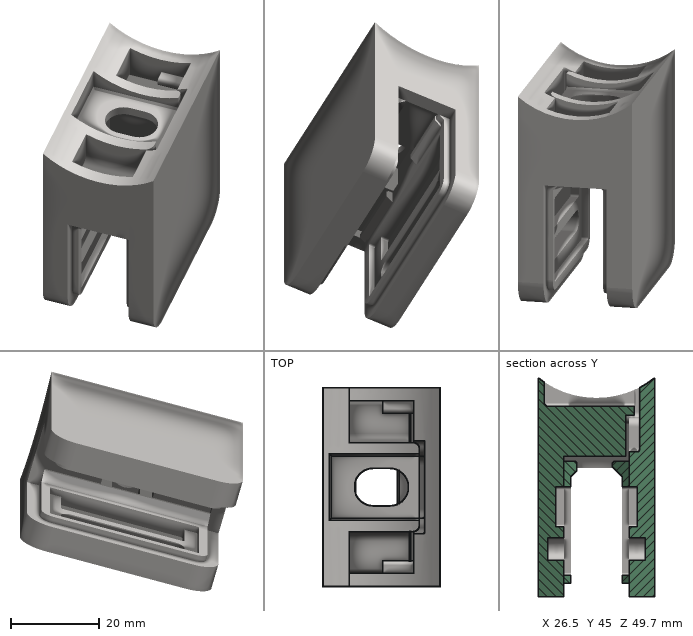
import cadquery as cq
import math

WIDTH = 26.5
LENGTH = 45.0
HEIGHT = 49.65
LEG_THICKNESS = 5.95
CORNER_RADIUS = 5.95
SADDLE_RADIUS = 21.2
END_WALL = 3.0
SLOT_TOP = 29.1

HALF_WIDTH = WIDTH / 2
HALF_LENGTH = LENGTH / 2
LEG_FACE = HALF_WIDTH - LEG_THICKNESS
INNER_HALF_LENGTH = HALF_LENGTH - END_WALL
SADDLE_CENTRE_Z = HEIGHT + math.sqrt(SADDLE_RADIUS**2 - HALF_WIDTH**2)

TONGUE_BOTTOM = 31.8
LEDGE_TOP = 38.45
LEDGE_END = 6.65
LEDGE_END_CHAMFER = 0.4
LEDGE_EDGE_RADIUS = 1.0
HUB_HALF_WIDTH = 10.1
HUB_END = 8.6
HUB_CORNER_RADIUS = 1.5
HUB_ROOT_RADIUS = 2.0

SEAT_START = -11.8
SEAT_HALF_WIDTH = 7.5
SEAT_FLOOR = 43.2
SEAT_CHAMFER = 0.5
SEAT_THICKNESS = 2.2
NOSE_BOTTOM = SEAT_FLOOR - SEAT_THICKNESS
SCREW_SLOT_LENGTH = 12.2
SCREW_SLOT_WIDTH = 8.45
HOLLOW_END = 4.65
HOLLOW_HALF_WIDTH = 6.1
NOTCH_HALF_WIDTH = 3.35

RECESS_BACK = 9.8
RECESS_HALF_WIDTH = 10.55
NOSE_CLEARANCE = 0.5
RECESS_SHELF = NOSE_BOTTOM - NOSE_CLEARANCE
RECESS_FLOOR = 31.8
RECESS_CORNER_RADIUS = 1.25
RECESS_FLOOR_HALF_WIDTH = 5.0
RECESS_STEP_RADIUS = 2.0
RECESS_BACK_RADIUS = 0.4

LATCH_START = 0.25
LATCH_TOP = 41.2
LATCH_RADIUS = 1.0
LATCH_REACH = 2.85

OPENING_HALF_LENGTH = 14.5
KEYHOLE_BOTTOM = 8.3
KEYHOLE_HEIGHT = 4.95
KEYHOLE_DEPTH = 3.6
POCKET_BOTTOM = 15.9
POCKET_TOP = 24.82
POCKET_DEPTH = 1.9
POCKET_CORNER_RADIUS = 0.5

GASKET_THICKNESS = 1.5
GASKET_INSET = 3.0
GASKET_BORDER = 2.0
GASKET_TOP = 30.8
GASKET_HALF_LENGTH = HALF_LENGTH - GASKET_INSET
GASKET_FACE = LEG_FACE - GASKET_THICKNESS
GASKET_CORNER_RADIUS = CORNER_RADIUS - GASKET_INSET
WINDOW_TOP = 24.82
WINDOW_CORNER_RADIUS = 0.5
LIP_BOTTOM = 27.1
LIP_REACH = 2.3
LIP_TOP_CHAMFER = 0.55
SPLIT_LIP_REACH = 1.45
SPLIT_LIP_GAP_HALF = 5.95
LIP_END_STEP = 0.85
LIP_END_LENGTH = 1.5
LIP_END_REACH = 1.25


def box(x_range, y_range, z_range):
    """Block between two limits along each axis."""
    size = [high - low for low, high in (x_range, y_range, z_range)]
    corner = (x_range[0], y_range[0], z_range[0])
    return cq.Workplane("XY").box(*size, centered=False).translate(corner)


def centred_box(x_range, half_width, z_range):
    """Block that is symmetric about the plane Y = 0."""
    return box(x_range, (-half_width, half_width), z_range)


def saddle():
    """Tube along Y that rests on the clamp."""
    return (
        cq.Workplane("XZ")
        .center(0, SADDLE_CENTRE_Z)
        .circle(SADDLE_RADIUS)
        .extrude(HALF_LENGTH, both=True)
    )


def leg_openings():
    """Round-ended keyhole and shallow pocket cut into the inner face of the +X leg."""
    keyhole = (
        cq.Workplane("YZ", origin=(LEG_FACE, 0, KEYHOLE_BOTTOM + KEYHOLE_HEIGHT / 2))
        .slot2D(2 * OPENING_HALF_LENGTH, KEYHOLE_HEIGHT)
        .extrude(KEYHOLE_DEPTH)
    )
    pocket = centred_box(
        (LEG_FACE, LEG_FACE + POCKET_DEPTH), OPENING_HALF_LENGTH, (POCKET_BOTTOM, POCKET_TOP)
    )
    return keyhole.union(pocket.edges("|X").fillet(POCKET_CORNER_RADIUS))


def leg():
    """Plain +X leg with rounded bottom corners and the blind openings."""
    plate = centred_box((LEG_FACE, HALF_WIDTH), HALF_LENGTH, (0, HEIGHT))
    plate = plate.edges("|X and <Z").fillet(CORNER_RADIUS)
    return plate.cut(leg_openings())


def nose_recess():
    """Stepped recess with an S-curved floor, open at the top of the housing leg."""
    radius = RECESS_STEP_RADIUS
    wall = RECESS_FLOOR_HALF_WIDTH + radius
    shoulder = RECESS_SHELF - radius
    bend = radius * math.sqrt(0.5)
    corner_bend = RECESS_CORNER_RADIUS * math.sqrt(0.5)
    corner_y = RECESS_HALF_WIDTH - RECESS_CORNER_RADIUS
    corner_z = RECESS_SHELF + RECESS_CORNER_RADIUS
    half = (
        cq.Workplane("YZ", origin=(LEG_FACE, 0, 0))
        .moveTo(0, RECESS_FLOOR)
        .lineTo(RECESS_FLOOR_HALF_WIDTH, RECESS_FLOOR)
        .threePointArc(
            (RECESS_FLOOR_HALF_WIDTH + bend, RECESS_FLOOR + radius - bend), (wall, RECESS_FLOOR + radius)
        )
        .lineTo(wall, shoulder)
        .threePointArc(
            (wall + radius - bend, shoulder + bend), (wall + radius, RECESS_SHELF)
        )
        .lineTo(corner_y, RECESS_SHELF)
        .threePointArc(
            (corner_y + corner_bend, corner_z - corner_bend), (RECESS_HALF_WIDTH, corner_z)
        )
        .lineTo(RECESS_HALF_WIDTH, HEIGHT)
        .lineTo(0, HEIGHT)
        .close()
        .extrude(RECESS_BACK - LEG_FACE)
    )
    half = half.faces(">X").edges("not (>Z or <Y)").fillet(RECESS_BACK_RADIUS)
    return half.union(half.mirror("XZ"))


def latch():
    """Round-nosed bar standing off the +Y end wall."""
    nose_y = INNER_HALF_LENGTH - LATCH_REACH + LATCH_RADIUS
    nose_z = LATCH_TOP - LATCH_RADIUS
    bar = box(
        (LATCH_START, LEG_FACE), (nose_y, INNER_HALF_LENGTH), (nose_z - LATCH_RADIUS, LATCH_TOP)
    )
    nose = (
        cq.Workplane("YZ", origin=(LATCH_START, nose_y, nose_z))
        .circle(LATCH_RADIUS)
        .extrude(LEG_FACE - LATCH_START)
    )
    return bar.union(nose)


def make_housing():
    """+X leg with the two end walls and their latch bars."""
    housing = leg().cut(nose_recess())
    end_wall = box(
        (-LEG_FACE, LEG_FACE), (INNER_HALF_LENGTH, HALF_LENGTH), (SLOT_TOP, HEIGHT)
    ).union(latch())
    housing = housing.union(end_wall).union(end_wall.mirror("XZ"))
    return housing.cut(saddle())


def tongue():
    """Ledge and hub that reach from the cover between the housing end walls."""
    ledge = centred_box((-LEG_FACE, LEDGE_END), INNER_HALF_LENGTH, (TONGUE_BOTTOM, LEDGE_TOP))
    ledge = ledge.edges("|X and >Z").fillet(LEDGE_EDGE_RADIUS)
    hub = centred_box((-LEG_FACE, LEDGE_END), HUB_HALF_WIDTH, (LEDGE_TOP, HEIGHT))
    body = ledge.union(hub).union(hub_root()).union(hub_root().mirror("XZ"))
    body = body.faces(">X").edges("not (<Z or >Z or <Y or >Y)").chamfer(LEDGE_END_CHAMFER)
    nose = centred_box((-LEG_FACE, HUB_END), HUB_HALF_WIDTH, (NOSE_BOTTOM, HEIGHT))
    nose = nose.edges("|Z and >X").fillet(HUB_CORNER_RADIUS)
    return body.union(nose)


def hub_root():
    """Concave fillet between the ledge and the +Y side of the hub."""
    root = box(
        (-LEG_FACE, LEDGE_END),
        (HUB_HALF_WIDTH, HUB_HALF_WIDTH + HUB_ROOT_RADIUS),
        (LEDGE_TOP, LEDGE_TOP + HUB_ROOT_RADIUS),
    )
    hollow = (
        cq.Workplane("YZ", origin=(-LEG_FACE, 0, 0))
        .center(HUB_HALF_WIDTH + HUB_ROOT_RADIUS, LEDGE_TOP + HUB_ROOT_RADIUS)
        .circle(HUB_ROOT_RADIUS)
        .extrude(LEDGE_END + LEG_FACE)
    )
    return root.cut(hollow)


def screw_seat():
    """Open-ended seat with a bevelled floor and the elongated screw hole."""
    seat_end = HUB_END + SEAT_CHAMFER
    seat = centred_box((SEAT_START, seat_end), SEAT_HALF_WIDTH, (SEAT_FLOOR, HEIGHT))
    seat = seat.faces("<Z").edges("not >X").chamfer(SEAT_CHAMFER)
    hole = (
        cq.Workplane("XY", origin=(0, 0, SEAT_FLOOR))
        .slot2D(SCREW_SLOT_LENGTH, SCREW_SLOT_WIDTH)
        .extrude(-SEAT_THICKNESS)
    )
    return seat.union(hole)


def tongue_hollow():
    """Space under the screw seat, with a narrower notch through its end wall."""
    height = (TONGUE_BOTTOM, NOSE_BOTTOM)
    hollow = centred_box((-LEG_FACE, HOLLOW_END), HOLLOW_HALF_WIDTH, height)
    return hollow.union(centred_box((HOLLOW_END, LEDGE_END), NOTCH_HALF_WIDTH, height))


def make_cover():
    """-X leg carrying the tongue."""
    cover = leg().mirror("YZ").union(tongue())
    return cover.cut(screw_seat()).cut(tongue_hollow()).cut(saddle())


def gasket_frame():
    """Window frame against the +X leg."""
    thickness = (GASKET_FACE, LEG_FACE)
    frame = centred_box(thickness, GASKET_HALF_LENGTH, (GASKET_INSET, GASKET_TOP))
    frame = frame.edges("|X and <Z").fillet(GASKET_CORNER_RADIUS)
    window_bottom = GASKET_INSET + GASKET_BORDER
    window = centred_box(thickness, GASKET_HALF_LENGTH - GASKET_BORDER, (window_bottom, WINDOW_TOP))
    return frame.cut(window.edges("|X").fillet(WINDOW_CORNER_RADIUS))


def lip(bottom, reach, top_chamfer, y_start, y_end):
    """Lip on the +X gasket, sloping inwards at 45 degrees from its bottom edge."""
    tip = GASKET_FACE - reach
    outline = [
        (GASKET_FACE, bottom),
        (tip, bottom + reach),
        (tip, GASKET_TOP - top_chamfer),
        (tip + top_chamfer, GASKET_TOP),
        (GASKET_FACE, GASKET_TOP),
    ]
    profile = cq.Workplane("XZ", origin=(0, y_start, 0)).polyline(outline).close()
    return profile.extrude(y_start - y_end)


def make_housing_gasket():
    """Frame with one lip along its whole length."""
    return gasket_frame().union(
        lip(LIP_BOTTOM, LIP_REACH, LIP_TOP_CHAMFER, -GASKET_HALF_LENGTH, GASKET_HALF_LENGTH)
    )


def make_cover_gasket():
    """Frame with a lip at each end that steps back at its outer end."""
    step = GASKET_HALF_LENGTH - LIP_END_LENGTH
    half_lip = lip(
        LIP_BOTTOM, SPLIT_LIP_REACH, LIP_TOP_CHAMFER, SPLIT_LIP_GAP_HALF, step
    ).union(lip(LIP_BOTTOM + LIP_END_STEP, LIP_END_REACH, LIP_TOP_CHAMFER, step, GASKET_HALF_LENGTH))
    return gasket_frame().union(half_lip).union(half_lip.mirror("XZ")).mirror("YZ")


housing = make_housing()
cover = make_cover()
housing_gasket = make_housing_gasket()
cover_gasket = make_cover_gasket()

result = cq.Compound.makeCompound(
    [housing.val(), cover.val(), housing_gasket.val(), cover_gasket.val()]
)